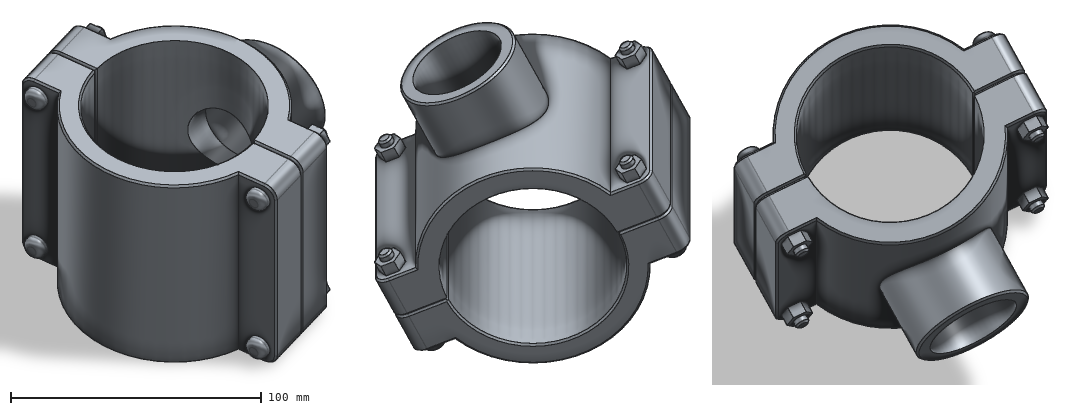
import cadquery as cq
import math


height = 98.0
ring_diameter = 93.8
bore_diameter = 75.0
flange_width = 122
flange_thickness = 18.8
flange_corner_radius = 6.0
edge_chamfer = 0.9

branch_diameter = 50.6
branch_end_y = 72
socket_diameter = 38.9
socket_depth = 25.0
branch_hole_diameter = 32.0

bolt_x = 53.1
bolt_z = 41.0
bolt_diameter = 6.0
bolt_end_y = 26.7
head_diameter = 10.0
head_height = 4.3
head_rounding = 2.9
nut_width_across_flats = 10.0
nut_width_across_corners = nut_width_across_flats / math.cos(math.pi / 6)
nut_height = 5.0


def cylinder_along_y(diameter, start_y, end_y):
    """Cylinder around the Y axis between two Y positions."""
    plane = cq.Workplane("XZ", origin=(0, start_y, 0))
    return plane.circle(diameter / 2).extrude(start_y - end_y)


def positive_y_block():
    """Block that covers everything on the +Y side of the mating plane."""
    return cq.Workplane("XY").box(flange_width, ring_diameter, height, centered=(True, False, True))


def make_half_blank():
    """Half ring on the +Y side with its two flanges, before boring."""
    flange = (
        cq.Workplane("XY")
        .box(flange_width, flange_thickness, height, centered=(True, False, True))
        .edges("|Y")
        .fillet(flange_corner_radius)
        .faces(">Y")
        .chamfer(edge_chamfer)
    )
    ring = cq.Workplane("XY").cylinder(height, ring_diameter / 2)
    ring = ring.edges("%CIRCLE").chamfer(edge_chamfer)
    return flange.union(ring.intersect(positive_y_block()))


def bore_half(blank):
    """Cut the pipe bore and chamfer the outline of the mating face."""
    bore = cq.Workplane("XY").cylinder(height, bore_diameter / 2)
    return blank.cut(bore).faces("<Y").chamfer(edge_chamfer)


def make_bore_end_cones():
    """Half cones on the -Y side that chamfer both ends of the plain half's bore."""
    cone_size = bore_diameter / 2 + edge_chamfer
    top_cone = (
        cq.Workplane("XZ")
        .moveTo(0, height / 2)
        .lineTo(cone_size, height / 2)
        .lineTo(0, height / 2 - cone_size)
        .close()
        .revolve(360, (0, 0, 0), (0, 1, 0))
    )
    return top_cone.union(top_cone.mirror("XY")).cut(positive_y_block())


def make_branch():
    """Solid branch stub, starting inside the bore and ending at the socket face."""
    stub = cylinder_along_y(branch_diameter, bore_diameter / 4, branch_end_y)
    return stub.faces(">Y").chamfer(edge_chamfer)


def make_branch_opening():
    """Stepped opening: a socket at the branch end and a hole into the bore."""
    hole = cylinder_along_y(branch_hole_diameter, 0, branch_end_y)
    socket = cylinder_along_y(socket_diameter, branch_end_y - socket_depth, branch_end_y)
    return hole.union(socket)


def make_bolt():
    """Button-head bolt along Y with its nut, centred on the Y axis."""
    shank = cylinder_along_y(bolt_diameter, -flange_thickness, bolt_end_y)
    shank = shank.faces(">Y").chamfer(edge_chamfer)
    head = cylinder_along_y(head_diameter, -flange_thickness - head_height, -flange_thickness)
    head = head.faces("<Y").edges().fillet(head_rounding)
    nut = (
        cq.Workplane("XZ", origin=(0, flange_thickness, 0))
        .polygon(6, nut_width_across_corners)
        .extrude(-nut_height)
    )
    return shank.union(head).union(nut)


blank = make_half_blank()
branch_half = bore_half(blank.union(make_branch()))
branch_half = branch_half.cut(make_branch_opening())

plain_half = bore_half(blank).mirror("XZ").cut(make_bore_end_cones())

result = branch_half.union(plain_half)
bolt = make_bolt()
for x in (-bolt_x, bolt_x):
    for z in (-bolt_z, bolt_z):
        result = result.union(bolt.translate((x, 0, z)))